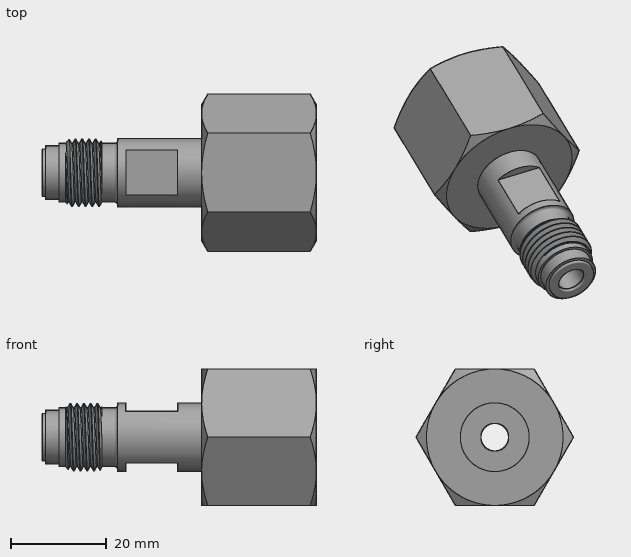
import cadquery as cq
import math

overall_length = 57.34

hex_across_flats = 28.575
nut_front = 33.36
nut_chamfer_angle = 30

tip_radius = 5.0
tip_length = 0.72
tip_rounding = 0.2
nose_radius = 5.65
nose_end = 3.52
core_radius = 6.18
shoulder_x = 15.78
shoulder_fillet = 0.6
shank_radius = 7.2

flat_start = 17.53
flat_end = 28.35
flat_half_spacing = 5.45

bore_radius = 2.86
mouth_radius = 2.95
mouth_depth = tip_length

thread_pitch = 25.4 / 18
thread_radius = 7.05
thread_start = 4.9
thread_end = 12.55
lead_in_angle = 45
run_out_angle = 60
thread_crest_width = 0.15
thread_flank_angle = 30
thread_root_overlap = 0.1
thread_trim_clearance = 0.3
crest_on_top_x = 5.9


def x_cylinder(radius, start, end):
    """Cylinder on the X axis between two axial places."""
    return cq.Workplane("YZ").workplane(offset=start).circle(radius).extrude(end - start)


def make_nut():
    """Hexagonal nut with both ends chamfered down to the flats, bored to fit the shank."""
    across_corners = hex_across_flats / math.cos(math.pi / 6)
    corner_radius = across_corners / 2
    face_radius = hex_across_flats / 2
    chamfer_length = (corner_radius - face_radius) * math.tan(math.radians(nut_chamfer_angle))
    hexagon = (
        cq.Workplane("YZ")
        .workplane(offset=nut_front)
        .polygon(6, across_corners)
        .extrude(overall_length - nut_front)
    )
    chamfer_envelope = (
        cq.Workplane("XY")
        .moveTo(nut_front, 0)
        .lineTo(nut_front, face_radius)
        .lineTo(nut_front + chamfer_length, corner_radius)
        .lineTo(overall_length - chamfer_length, corner_radius)
        .lineTo(overall_length, face_radius)
        .lineTo(overall_length, 0)
        .close()
        .revolve(360, (0, 0, 0), (1, 0, 0))
    )
    shank_hole = x_cylinder(shank_radius, nut_front, overall_length)
    return hexagon.intersect(chamfer_envelope).cut(shank_hole)


def make_thread():
    """Right-hand helical ridge, trimmed by a cone at each end."""
    root_radius = core_radius - thread_root_overlap
    half_crest = thread_crest_width / 2
    half_root = half_crest + (thread_radius - root_radius) * math.tan(math.radians(thread_flank_angle))
    helix_start = crest_on_top_x - 2 * thread_pitch
    helix_length = math.ceil((thread_end - helix_start) / thread_pitch + 1) * thread_pitch

    helix = cq.Wire.makeHelix(thread_pitch, helix_length, core_radius)
    ridge = (
        cq.Workplane("XZ")
        .moveTo(root_radius, -half_root)
        .lineTo(thread_radius, -half_crest)
        .lineTo(thread_radius, half_crest)
        .lineTo(root_radius, half_root)
        .close()
        .sweep(cq.Workplane(helix), isFrenet=True)
        .rotate((0, 0, 0), (0, 0, 1), 180)
        .rotate((0, 0, 0), (0, 1, 0), 90)
        .translate((helix_start, 0, 0))
    )
    trim_radius = thread_radius + thread_trim_clearance
    trim_height = trim_radius - core_radius
    lead_in_length = trim_height / math.tan(math.radians(lead_in_angle))
    run_out_length = trim_height / math.tan(math.radians(run_out_angle))
    end_trim = (
        cq.Workplane("XY")
        .moveTo(thread_start, 0)
        .lineTo(thread_start, core_radius)
        .lineTo(thread_start + lead_in_length, trim_radius)
        .lineTo(thread_end - run_out_length, trim_radius)
        .lineTo(thread_end, core_radius)
        .lineTo(thread_end, 0)
        .close()
        .revolve(360, (0, 0, 0), (1, 0, 0))
    )
    return ridge.intersect(end_trim)


def make_stem_blank():
    """Turned outer shape of the stem, with a rounded tip and a filleted shoulder."""
    return (
        cq.Workplane("XY")
        .moveTo(0, 0)
        .lineTo(0, tip_radius - tip_rounding)
        .radiusArc((tip_rounding, tip_radius), tip_rounding)
        .lineTo(tip_length, tip_radius)
        .lineTo(tip_length, nose_radius)
        .lineTo(nose_end, nose_radius)
        .lineTo(nose_end, core_radius)
        .lineTo(shoulder_x - shoulder_fillet, core_radius)
        .radiusArc((shoulder_x, core_radius + shoulder_fillet), -shoulder_fillet)
        .lineTo(shoulder_x, shank_radius)
        .lineTo(overall_length, shank_radius)
        .lineTo(overall_length, 0)
        .close()
        .revolve(360, (0, 0, 0), (1, 0, 0))
    )


def cut_wrench_flats(stem):
    """Cut two parallel flats into the shank, above and below the axis."""
    cutter_height = 2 * (shank_radius - flat_half_spacing)
    cutter_offset = flat_half_spacing + cutter_height / 2
    for side in (-1, 1):
        cutter = (
            cq.Workplane("XY")
            .box(flat_end - flat_start, 2 * shank_radius, cutter_height)
            .translate(((flat_start + flat_end) / 2, 0, side * cutter_offset))
        )
        stem = stem.cut(cutter)
    return stem


def make_bore():
    """Through bore with a rounded, slightly wider mouth inside the tip."""
    return (
        cq.Workplane("XY")
        .moveTo(0, 0)
        .lineTo(0, mouth_radius + tip_rounding)
        .radiusArc((tip_rounding, mouth_radius), -tip_rounding)
        .lineTo(mouth_depth, mouth_radius)
        .lineTo(mouth_depth, bore_radius)
        .lineTo(overall_length, bore_radius)
        .lineTo(overall_length, 0)
        .close()
        .revolve(360, (0, 0, 0), (1, 0, 0))
    )


def make_stem():
    """Hollow threaded stem that passes through the nut."""
    stem = cut_wrench_flats(make_stem_blank()).cut(make_bore())
    return stem.union(make_thread())


nut = make_nut()
stem = make_stem()

result = cq.Compound.makeCompound([nut.solids().val(), stem.solids().val()])